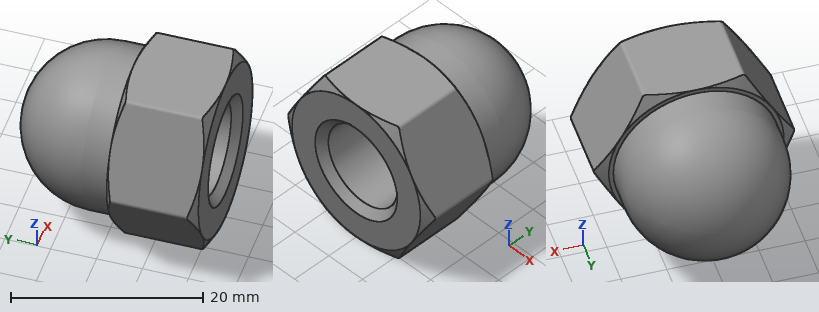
import cadquery as cq
import math

total_length = 21.93
across_flats = 19.0
hex_height = 10.0
corner_radius = 0.5
hex_chamfer_angle = math.radians(30)

dome_radius = 18.0 / 2

bore_radius = 10.2 / 2
bore_depth = 16.0
drill_point_half_angle = math.radians(59)
countersink_radius = 12.15 / 2

across_corners = across_flats / math.cos(math.pi / 6)
dome_start = total_length - dome_radius
countersink_depth = countersink_radius - bore_radius
bore_tip = bore_depth + bore_radius / math.tan(drill_point_half_angle)


def revolve_about_y(profile):
    """Close a half profile drawn in XY and spin it around the nut axis."""
    return profile.close().revolve(360, (0, 0, 0), (0, 1, 0))


def hexagon():
    """Hexagonal prism with rounded corners and a conical chamfer at both ends."""
    prism = (
        cq.Workplane("XZ")
        .polygon(6, across_corners)
        .extrude(-hex_height)
        .edges("|Y")
        .fillet(corner_radius)
    )
    face_radius = across_flats / 2
    outer_radius = across_corners / 2
    chamfer_depth = (outer_radius - face_radius) * math.tan(hex_chamfer_angle)
    envelope = revolve_about_y(
        cq.Workplane("XY")
        .lineTo(face_radius, 0)
        .lineTo(outer_radius, chamfer_depth)
        .lineTo(outer_radius, hex_height - chamfer_depth)
        .lineTo(face_radius, hex_height)
        .lineTo(0, hex_height)
    )
    return prism.intersect(envelope)


def cap():
    """Short cylindrical collar closed by a hemisphere."""
    arc_midpoint = dome_radius * math.sqrt(0.5)
    return revolve_about_y(
        cq.Workplane("XY")
        .lineTo(dome_radius, 0)
        .lineTo(dome_radius, dome_start)
        .threePointArc((arc_midpoint, dome_start + arc_midpoint), (0, total_length))
    )


def bore():
    """Blind hole with a countersunk mouth and a conical drill point."""
    return revolve_about_y(
        cq.Workplane("XY")
        .lineTo(countersink_radius, 0)
        .lineTo(bore_radius, countersink_depth)
        .lineTo(bore_radius, bore_depth)
        .lineTo(0, bore_tip)
    )


result = hexagon().union(cap()).cut(bore())